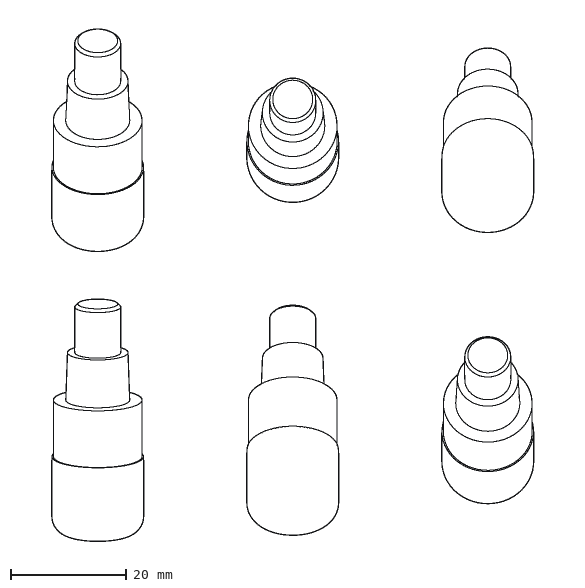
import cadquery as cq

total_height = 41.25
shoulder_z = 32.55
collar_top_z = 24.05
knob_top_z = 13.9
knob_taper_z = 12.85

knob_radius = 8.0
knob_rim_radius = 7.95
collar_radius = 7.7
cone_base_radius = 5.55
cone_top_radius = 5.3
pin_radius = 4.0

knob_bottom_fillet = 3.2
pin_tip_chamfer = 0.55


def make_knob():
    """Round grip with a slightly tapered rim and a rounded bottom edge."""
    profile = (
        cq.Workplane("XZ")
        .lineTo(knob_radius, 0)
        .lineTo(knob_radius, knob_taper_z)
        .lineTo(knob_rim_radius, knob_top_z)
        .lineTo(0, knob_top_z)
        .close()
    )
    knob = profile.revolve(360, (0, 0, 0), (0, 1, 0))
    return knob.faces("<Z").edges().fillet(knob_bottom_fillet)


def make_plunger():
    """Collar, tapered neck and chamfered pin, standing on the knob."""
    profile = (
        cq.Workplane("XZ")
        .moveTo(0, knob_top_z)
        .lineTo(collar_radius, knob_top_z)
        .lineTo(collar_radius, collar_top_z)
        .lineTo(cone_base_radius, collar_top_z)
        .lineTo(cone_top_radius, shoulder_z)
        .lineTo(pin_radius, shoulder_z)
        .lineTo(pin_radius, total_height)
        .lineTo(0, total_height)
        .close()
    )
    plunger = profile.revolve(360, (0, 0, 0), (0, 1, 0))
    return plunger.faces(">Z").edges().chamfer(pin_tip_chamfer)


knob = make_knob()
plunger = make_plunger()

result = cq.Compound.makeCompound([knob.val(), plunger.val()])